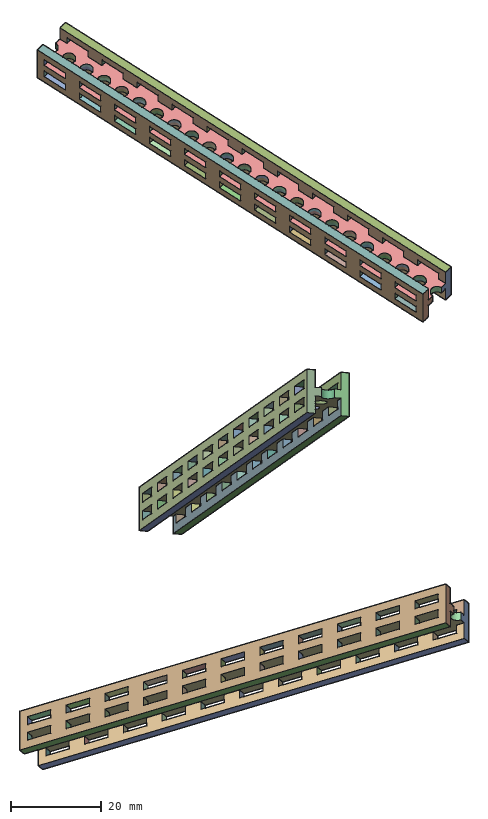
import cadquery as cq

length = 110.0
bay_count = 11
bay = length / bay_count

section_size = bay
thickness = section_size / 5
flange_offset = (section_size - thickness) / 2

slot_length = 3 * thickness
slot_height = thickness
slot_offset = (thickness + slot_height) / 2

hole_diameter = 1.5 * thickness
hole_pitch = bay / 2
hole_count = 2 * bay_count + 1


def make_h_beam():
    """Horizontal web joining two upright flanges, centred on the origin."""
    beam = cq.Workplane("XY").box(length, section_size, thickness)
    for side in (-1, 1):
        flange = cq.Workplane("XY").box(length, thickness, section_size)
        beam = beam.union(flange.translate((0, side * flange_offset, 0)))
    return beam


def make_slot_cutters():
    """Two rows of bars along Y, above and below the web."""
    return (
        cq.Workplane("XZ")
        .rarray(bay, 2 * slot_offset, bay_count, 2)
        .rect(slot_length, slot_height)
        .extrude(section_size, both=True)
    )


def make_hole_cutters():
    """One row of upright cylinders; the first and last sit on the end faces."""
    return (
        cq.Workplane("XY")
        .rarray(hole_pitch, 1.1, hole_count, 1)
        .circle(hole_diameter / 2)
        .extrude(section_size, both=True)
    )


result = make_h_beam().cut(make_slot_cutters()).cut(make_hole_cutters())